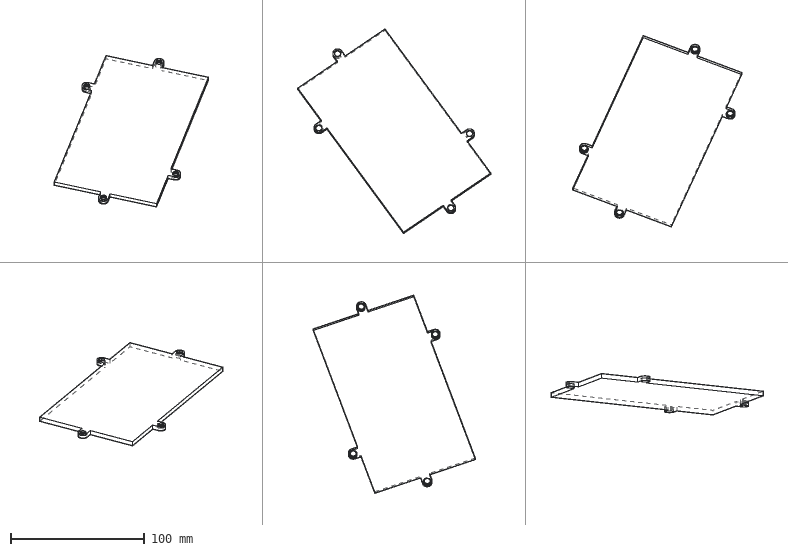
import cadquery as cq

overall_x = 97.0
overall_y = 154.5
thickness = 3.5

tab_reach = 8.5
tab_width = 7.3
hole_diameter = 4.5
counterbore_diameter = 5.9
counterbore_depth = 2.0

plate_x = overall_x - 2 * tab_reach
plate_y = overall_y - 2 * tab_reach
side_tab_offset = plate_y / 4

tab_radius = tab_width / 2
hole_distance = tab_reach - tab_radius

tab_roots = [
    (plate_x / 2, -side_tab_offset, 0),
    (0, plate_y / 2, 90),
    (-plate_x / 2, side_tab_offset, 180),
    (0, -plate_y / 2, 270),
]


def place_on_edge(body, root_x, root_y, angle):
    """Turn a body that points along +X outward and move it to its root."""
    return body.rotate((0, 0, 0), (0, 0, 1), angle).translate((root_x, root_y, 0))


def make_tab():
    """Round-ended tab that starts at the origin and points along +X, with a hole counterbored from below."""
    return (
        cq.Workplane("XY")
        .moveTo(0, -tab_radius)
        .lineTo(hole_distance, -tab_radius)
        .threePointArc((tab_reach, 0), (hole_distance, tab_radius))
        .lineTo(0, tab_radius)
        .close()
        .extrude(thickness)
        .faces("<Z")
        .workplane(origin=(hole_distance, 0, 0))
        .cboreHole(hole_diameter, counterbore_diameter, counterbore_depth)
    )


result = cq.Workplane("XY").box(plate_x, plate_y, thickness, centered=(True, True, False))
for root_x, root_y, direction in tab_roots:
    result = result.union(place_on_edge(make_tab(), root_x, root_y, direction))